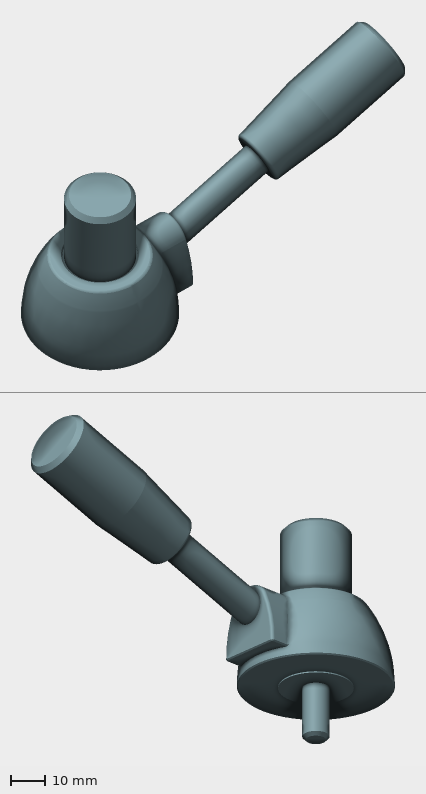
import cadquery as cq
import math

HUB_DIAMETER = 46.0
HUB_RADIUS = HUB_DIAMETER / 2
HUB_HEIGHT = 25.0
HUB_TOP_RADIUS = 15.0
HUB_DOME_RADIUS = 41.6
HUB_TOP_FILLET = 0.98
BORE_CHAMFER = 0.33

BOSS_REACH = 27.0
BOSS_WIDTH = 20.0
BOSS_HALF_WIDTH = BOSS_WIDTH / 2
BOSS_BOTTOM = 3.1
BOSS_TOP = 24.0
BOSS_SHOULDER_HALF_WIDTH = 6.5
BOSS_SHOULDER_Z = 19.8
BOSS_FACE_FILLET = 0.98
BOSS_ROOT_FILLET = 0.98
BOTTOM_CHAMFER = 0.4

SPINDLE_RADIUS = 10.5
SPINDLE_TOP = 50.0
SPINDLE_CHAMFER = 1.5
SEAT_RADIUS = 11.0
SEAT_RECESS = 0.7
SEAT_TOP = HUB_HEIGHT - SEAT_RECESS
SEAT_PROJECTION = 0.4

STUD_DIAMETER = 8.0
STUD_RADIUS = STUD_DIAMETER / 2
STUD_BOTTOM = -16.9
STUD_TOP = 13.1
STUD_CHAMFER = 1.0

LEVER_TILT = 20.0
LEVER_AXIS_Z = 16.9
LEVER_RADIUS = 5.0
LEVER_DEPTH_IN_HUB = 9.8
LEVER_DEPTH_IN_GRIP = 26.2
GRIP_TAPER_LENGTH = 22.0
GRIP_LENGTH = 50.0
GRIP_START = 32.9
GRIP_RADIUS = 10.5
GRIP_SMALL_RADIUS = 8.5
GRIP_END_CHAMFER = 1.5
GRIP_START_FILLET = 0.98


def tilted_plane(distance):
    """Plane normal to the lever axis, a given distance outward from the boss face."""
    tilt = math.radians(LEVER_TILT)
    along_y = math.cos(tilt)
    along_z = math.sin(tilt)
    origin = (0, BOSS_REACH + distance * along_y, LEVER_AXIS_Z + distance * along_z)
    return cq.Plane(origin=origin, xDir=(1, 0, 0), normal=(0, along_y, along_z))


def lever():
    length = LEVER_DEPTH_IN_HUB + GRIP_START + LEVER_DEPTH_IN_GRIP
    return cq.Workplane(tilted_plane(-LEVER_DEPTH_IN_HUB)).circle(LEVER_RADIUS).extrude(length)


def grip():
    axis = tilted_plane(0).zDir
    outer_end = cq.selectors.DirectionMinMaxSelector(axis, True)
    inner_end = cq.selectors.DirectionMinMaxSelector(axis, False)
    taper = (
        cq.Workplane(tilted_plane(GRIP_START))
        .circle(GRIP_SMALL_RADIUS)
        .workplane(offset=GRIP_TAPER_LENGTH)
        .circle(GRIP_RADIUS)
        .loft(ruled=True)
    )
    barrel = (
        cq.Workplane(tilted_plane(GRIP_START + GRIP_TAPER_LENGTH))
        .circle(GRIP_RADIUS)
        .extrude(GRIP_LENGTH - GRIP_TAPER_LENGTH)
        .faces(outer_end)
        .chamfer(GRIP_END_CHAMFER)
    )
    handle = taper.union(barrel).faces(inner_end).edges().fillet(GRIP_START_FILLET)
    return handle.cut(lever())


def stud():
    length = STUD_TOP - STUD_BOTTOM
    pin = cq.Workplane("XY").workplane(offset=STUD_BOTTOM).circle(STUD_RADIUS).extrude(length)
    return pin.faces("<Z").chamfer(STUD_CHAMFER)


def spindle():
    post = cq.Workplane("XY").circle(SPINDLE_RADIUS).extrude(SPINDLE_TOP).faces(">Z").chamfer(SPINDLE_CHAMFER)
    seat_length = SEAT_TOP + SEAT_PROJECTION
    seat = cq.Workplane("XY").workplane(offset=-SEAT_PROJECTION).circle(SEAT_RADIUS).extrude(seat_length)
    return post.union(seat).cut(stud())


def dome():
    profile = (
        cq.Workplane("XZ")
        .lineTo(HUB_RADIUS, 0)
        .radiusArc((HUB_TOP_RADIUS, HUB_HEIGHT), -HUB_DOME_RADIUS)
        .lineTo(0, HUB_HEIGHT)
        .close()
    )
    return profile.revolve(360, (0, 0, 0), (0, 1, 0)).faces(">Z").edges().fillet(HUB_TOP_FILLET)


def boss():
    crown_height = BOSS_TOP - BOSS_SHOULDER_Z
    crown_radius = (BOSS_SHOULDER_HALF_WIDTH**2 + crown_height**2) / (2 * crown_height)
    outline = (
        cq.Workplane("XZ")
        .moveTo(0, BOSS_TOP)
        .radiusArc((BOSS_SHOULDER_HALF_WIDTH, BOSS_SHOULDER_Z), crown_radius)
        .tangentArcPoint((BOSS_HALF_WIDTH, BOSS_BOTTOM), relative=False)
        .lineTo(0, BOSS_BOTTOM)
        .mirrorY()
    )
    block = outline.extrude(-BOSS_REACH)
    block = block.faces(">Y").edges("not(<Z)").fillet(BOSS_FACE_FILLET)
    return block.faces("<Z").edges("not(<Y)").chamfer(BOTTOM_CHAMFER)


def seat_bore():
    bore = cq.Workplane("XY").circle(SEAT_RADIUS).extrude(HUB_HEIGHT)
    mouth = (
        cq.Workplane("XY")
        .workplane(offset=HUB_HEIGHT - BORE_CHAMFER)
        .circle(SEAT_RADIUS)
        .workplane(offset=BORE_CHAMFER)
        .circle(SEAT_RADIUS + BORE_CHAMFER)
        .loft(ruled=True)
    )
    return bore.union(mouth)


def hub():
    body = dome().union(boss())
    boss_root = cq.selectors.BoxSelector(
        (-BOSS_HALF_WIDTH, HUB_TOP_RADIUS, BOSS_BOTTOM + BOSS_ROOT_FILLET),
        (BOSS_HALF_WIDTH, (HUB_TOP_RADIUS + BOSS_REACH) / 2, BOSS_TOP),
    )
    body = body.edges(boss_root).fillet(BOSS_ROOT_FILLET)
    body = body.faces("<Z").edges().chamfer(BOTTOM_CHAMFER)
    return body.cut(seat_bore()).cut(lever())


result = cq.Compound.makeCompound([
    hub().val(),
    spindle().val(),
    stud().val(),
    lever().val(),
    grip().val(),
])